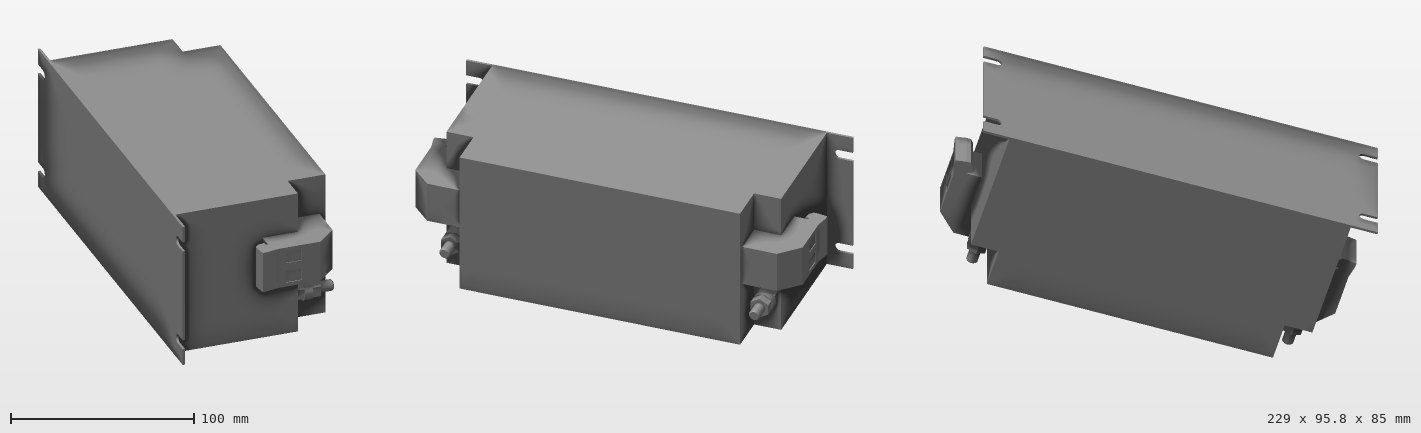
import cadquery as cq

housing_width = 195.0
housing_depth = 94.8
housing_height = 85.0
step_width = 15.8
step_depth = 22.0
plate_width = 225.3
plate_thickness = 1.4

slot_width = 5.5
slot_length = 10.5
slot_edge_distance = 12.4

pole_count = 2
block_bottom = 37.3
block_height = 24.0
block_width = 225.8
block_back_inset = 3.5
block_chamfer = 11.0
block_front = 52.5
flare_start = 55.6
overall_width = 229.0
flare_end = 48.0
hook_bottom = 45.0
hook_top = 51.0
hook_reach = 11.0
hook_neck = 8.7
hook_slope_width = 6.0
hook_slope_drop = 1.0
tip_setback_x = 0.7
tip_setback_y = 3.7
tip_bevel_x = 2.5
tip_bevel_y = 2.6

recess_length = 9.2
recess_height = 7.0
recess_depth = 0.5
recess_back_distance = 25.5

stud_offset = 90.2
stud_z = 21.0
stud_diameter = 6.5
stud_projection = 1.0
stud_chamfer = 0.7
nut_corner_diameter = 12.0
nut_thickness = 4.8
washer_stack_thickness = 4.8

step_y = housing_depth - step_depth
pole_height = block_height / pole_count


def box(x_min, x_max, y_min, y_max, z_min, z_max):
    size = (x_max - x_min, y_max - y_min, z_max - z_min)
    return cq.Workplane("XY").box(*size, centered=False).translate((x_min, y_min, z_min))


def make_housing():
    half = housing_width / 2
    back_half = half - step_width
    lower = box(-half, half, 0, step_y, 0, housing_height)
    upper = box(-back_half, back_half, 0, housing_depth, 0, housing_height)
    return lower.union(upper)


def make_plate():
    half = plate_width / 2
    plate = box(-half, half, 0, plate_thickness, 0, housing_height)
    end_radius = slot_width / 2
    arc_centre = half - slot_length + end_radius
    for side in (-1, 1):
        for z in (slot_edge_distance, housing_height - slot_edge_distance):
            slot = (
                cq.Workplane("XZ")
                .moveTo(side * half, z - end_radius)
                .lineTo(side * arc_centre, z - end_radius)
                .threePointArc((side * (half - slot_length), z), (side * arc_centre, z + end_radius))
                .lineTo(side * half, z + end_radius)
                .close()
                .extrude(-plate_thickness)
            )
            plate = plate.cut(slot)
    return plate


def make_pole(bottom):
    """One pole of the left terminal block, with its hooked front end and wire-entry recess."""
    outer = -block_width / 2
    flare = -overall_width / 2
    back = housing_depth - block_back_inset
    wall = -housing_width / 2
    step_wall = wall + step_width
    hook_tip = flare + hook_reach
    outline = [
        (step_wall, step_y),
        (step_wall, back),
        (outer + block_chamfer, back),
        (outer, back - block_chamfer),
        (outer, flare_start),
        (flare, flare_end),
        (flare, hook_bottom + hook_slope_drop),
        (flare + hook_slope_width, hook_bottom),
        (hook_tip - tip_bevel_x, hook_bottom),
        (hook_tip - tip_setback_x, hook_top - tip_setback_y),
        (hook_tip, hook_top),
        (flare + hook_neck, hook_top),
        (flare + hook_neck, block_front),
        (wall, block_front),
        (wall, step_y),
    ]
    pole = cq.Workplane("XY").polyline(outline).close().extrude(pole_height)
    recess_back = housing_depth - recess_back_distance
    recess_bottom = (pole_height - recess_height) / 2
    recess = box(
        outer, outer + recess_depth,
        recess_back - recess_length, recess_back,
        recess_bottom, recess_bottom + recess_height,
    )
    return pole.cut(recess).translate((0, 0, bottom))


def disc(diameter, start, end):
    """Cylinder on the left stud axis between two Y positions."""
    return cq.Workplane("XZ", origin=(-stud_offset, start, stud_z)).circle(diameter / 2).extrude(start - end)


def nut(start):
    """Hexagon nut along Y with two corners pointing up and down."""
    plane = cq.Workplane("XZ", origin=(-stud_offset, start, stud_z))
    return plane.transformed(rotate=(0, 0, 90)).polygon(6, nut_corner_diameter).extrude(-nut_thickness)


def make_stud():
    """Left stud with a nut on the step, a stack of equal washers and a clamping nut."""
    tip = housing_depth + stud_projection
    stud = disc(stud_diameter, step_y, tip).faces(">Y").chamfer(stud_chamfer)
    washers_start = step_y + nut_thickness
    washers_end = washers_start + washer_stack_thickness
    washers = disc(nut_corner_diameter, washers_start, washers_end)
    return stud.union(nut(step_y)).union(washers).union(nut(washers_end))


fittings = make_stud()
for index in range(pole_count):
    fittings = fittings.union(make_pole(block_bottom + index * pole_height))

result = make_housing().union(make_plate()).union(fittings).union(fittings.mirror("YZ"))